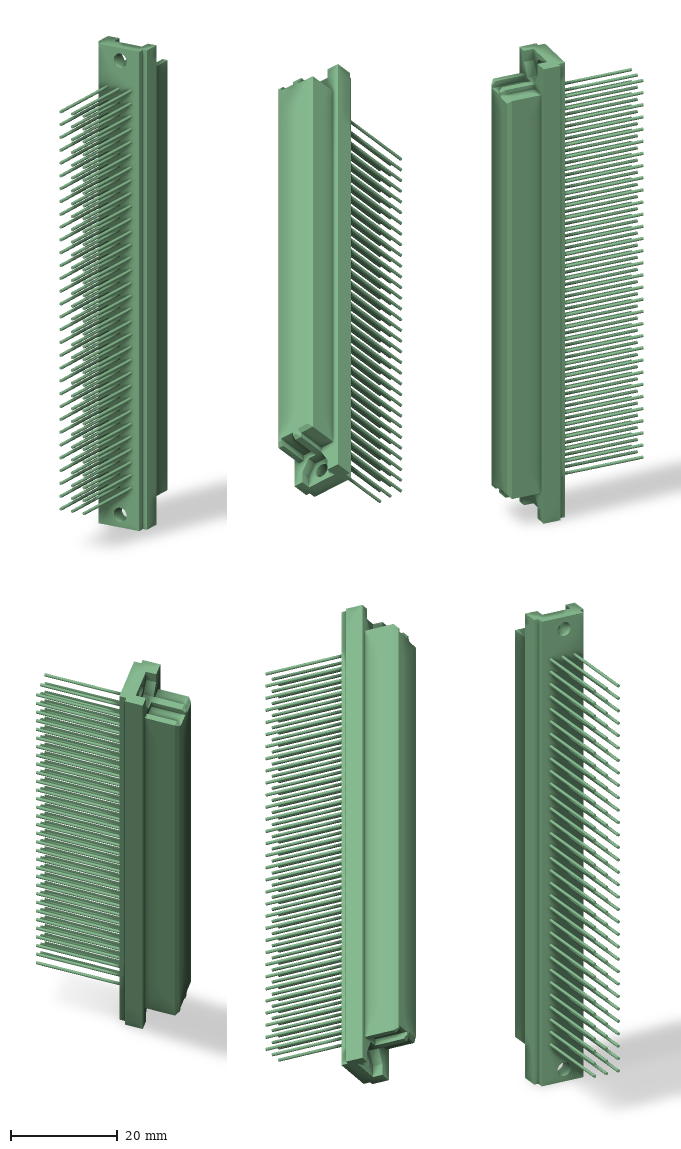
import cadquery as cq
import math


flange_width = 10.6
base_width = 8.9
length = 95.0
base_depth = 1.4
flange_depth = 3.5
flange_back = base_depth + flange_depth

body_width = 8.3
body_length = 85.2
body_depth = 6.7
body_back = flange_back + body_depth
end_step_x = -1.3
end_step_height = 1.0
body_chamfer = 0.7
chamfer_angle = 45.0

groove_left = 0.1
groove_right = 3.0
groove_depth = 1.3

fixing_x = 0.3
hole_spacing = 90.0
hole_diameter = 2.8
recess_depth = 2.0
recess_mouth_width = 6.1
recess_floor_width = 3.1
recess_slope_angle = 60.0

pin_rows = 32
pin_columns = 3
pin_pitch = 2.54
pin_diameter = 0.6
overall_depth = 28.6
pin_length = overall_depth - body_back
pin_embed = 1.0

half_length = length / 2
half_body_width = body_width / 2
half_body_length = body_length / 2


def block(width, y_start, y_end):
    """Full-length rectangular block, centred in X and Z."""
    return cq.Workplane("XY").box(width, y_end - y_start, length).translate((0, (y_start + y_end) / 2, 0))


def prism(points, y_start, y_end, taper=0):
    """Prism along +Y from an XZ outline; a taper narrows it towards +Y."""
    plane = cq.Workplane(cq.Plane(origin=(0, y_start, 0), xDir=(-1, 0, 0), normal=(0, 1, 0)))
    mirrored = [(-x, z) for x, z in points]
    return plane.polyline(mirrored).close().extrude(y_end - y_start, taper=taper)


def make_body():
    """Mating body, shorter on its -X side, with a chamfer around its mating face."""
    short_end = half_body_length - end_step_height
    outline = [
        (-half_body_width, -short_end),
        (end_step_x, -short_end),
        (end_step_x, -half_body_length),
        (half_body_width, -half_body_length),
        (half_body_width, half_body_length),
        (end_step_x, half_body_length),
        (end_step_x, short_end),
        (-half_body_width, short_end),
    ]
    chamfer_start = body_back - body_chamfer
    straight = prism(outline, flange_back, chamfer_start)
    chamfered = prism(outline, chamfer_start, body_back, chamfer_angle)
    return straight.union(chamfered)


def make_end_groove(end):
    """Cutter for the groove in one end of the body (end is +1 or -1)."""
    outer = end * half_body_length
    inner = end * (half_body_length - groove_depth)
    outline = [(groove_left, inner), (groove_right, inner), (groove_right, outer), (groove_left, outer)]
    return prism(outline, flange_back, body_back)


def make_recess(end):
    """Cutter for the recess at one end of the flange: straight sides with sloping corners at its floor."""
    half_floor = recess_floor_width / 2
    half_mouth = recess_mouth_width / 2
    slope_height = (half_mouth - half_floor) * math.tan(math.radians(recess_slope_angle))
    mouth = end * half_length
    floor = end * half_body_length
    shoulder = end * (half_body_length + slope_height)
    outline = [
        (fixing_x - half_floor, floor),
        (fixing_x + half_floor, floor),
        (fixing_x + half_mouth, shoulder),
        (fixing_x + half_mouth, mouth),
        (fixing_x - half_mouth, mouth),
        (fixing_x - half_mouth, shoulder),
    ]
    return prism(outline, flange_back - recess_depth, flange_back)


def make_screw_hole(end):
    """Cutter for the screw hole at one end of the flange."""
    plane = cq.Workplane("XZ", origin=(fixing_x, flange_back, end * hole_spacing / 2))
    return plane.circle(hole_diameter / 2).extrude(flange_back)


def make_pins():
    """Grid of round pins, rooted inside the base so that they join it."""
    grid = cq.Workplane("XZ", origin=(0, pin_embed, 0)).rarray(pin_pitch, pin_pitch, pin_columns, pin_rows)
    return grid.circle(pin_diameter / 2).extrude(pin_embed + pin_length)


base = block(base_width, 0, base_depth)
flange = block(flange_width, base_depth, flange_back)
housing = base.union(flange).union(make_body())
for end in (1, -1):
    housing = housing.cut(make_end_groove(end))
    housing = housing.cut(make_recess(end))
    housing = housing.cut(make_screw_hole(end))

result = housing.union(make_pins())